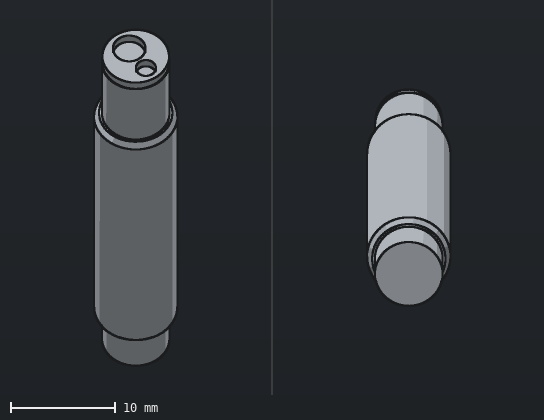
import cadquery as cq

total_length = 44.4
body_bottom = 4.45
body_top = 35.5
cap_height = 0.98

body_diameter = 8.0
end_diameter = 6.5
cap_diameter = 6.4

chamfer_width = 0.5
chamfer_height = 0.58

large_hole_diameter = 3.1
large_hole_x = -1.1
large_hole_depth = 0.98
small_hole_diameter = 1.9
small_hole_x = 1.75
small_hole_depth = 0.98


def cylinder(diameter, bottom, top):
    """Vertical cylinder on the Z axis between two levels."""
    return cq.Workplane("XY").workplane(offset=bottom).circle(diameter / 2).extrude(top - bottom)


def chamfered_body():
    """Thick middle section, revolved with a chamfer at each end."""
    radius = body_diameter / 2
    end_radius = radius - chamfer_width
    outline = [
        (0, body_bottom),
        (end_radius, body_bottom),
        (radius, body_bottom + chamfer_height),
        (radius, body_top - chamfer_height),
        (end_radius, body_top),
        (0, body_top),
    ]
    return cq.Workplane("XZ").polyline(outline).close().revolve(360, (0, 0), (0, 1))


def top_hole(diameter, x, depth):
    """Cutter for a blind hole in the top face."""
    return cylinder(diameter, total_length - depth, total_length).translate((x, 0, 0))


cap_bottom = total_length - cap_height
result = (
    chamfered_body()
    .union(cylinder(end_diameter, 0, body_bottom))
    .union(cylinder(end_diameter, body_top, cap_bottom))
    .union(cylinder(cap_diameter, cap_bottom, total_length))
    .cut(top_hole(large_hole_diameter, large_hole_x, large_hole_depth))
    .cut(top_hole(small_hole_diameter, small_hole_x, small_hole_depth))
)